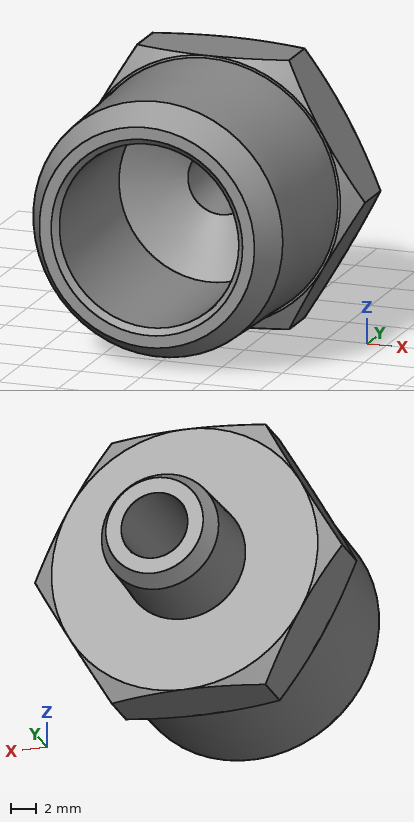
import cadquery as cq
import math

large_thread_length = 14.0
hex_thickness = 5.5
small_thread_length = 7.5
hex_end = large_thread_length + hex_thickness
total_length = hex_end + small_thread_length

across_flats = 22.0
across_corners = across_flats / math.cos(math.radians(30))
hex_chamfer_diameter = across_flats
hex_chamfer_angle = 30.0

thread_taper = 1 / 16
large_tip_diameter = 20.87
large_chamfer_length = 2.5
small_tip_diameter = 9.67
small_chamfer_length = 1.4
tip_chamfer_angle = 30.0

bore_diameter = 15.0
bore_depth = 14.0
mouth_diameter = 16.0
mouth_chamfer_angle = 45.0
hole_diameter = 5.5
drill_point_angle = 120.0


def revolve_about_y(outline):
    """Turn a list of (radius, y) points into a solid of revolution about Y."""
    return cq.Workplane("XY").polyline(outline).close().revolve(360, (0, 0, 0), (0, 1, 0))


def tapered_thread(tip_diameter, length, chamfer_length):
    """Thread body from its chamfered tip at Y = 0 to its root at Y = length."""
    tip_radius = tip_diameter / 2
    end_radius = tip_radius - chamfer_length * math.tan(math.radians(tip_chamfer_angle))
    root_radius = tip_radius + (length - chamfer_length) * thread_taper / 2
    return revolve_about_y([
        (0, 0),
        (end_radius, 0),
        (tip_radius, chamfer_length),
        (root_radius, length),
        (0, length),
    ])


def chamfered_hexagon():
    """Hexagon with corners on the X axis, turned down at the corners on both faces."""
    prism = (
        cq.Workplane("XZ", origin=(0, hex_end, 0))
        .polygon(6, across_corners)
        .extrude(hex_thickness)
    )
    face_radius = hex_chamfer_diameter / 2
    corner_radius = across_corners / 2
    corner_drop = (corner_radius - face_radius) * math.tan(math.radians(hex_chamfer_angle))
    envelope = revolve_about_y([
        (0, large_thread_length),
        (face_radius, large_thread_length),
        (corner_radius, large_thread_length + corner_drop),
        (corner_radius, hex_end - corner_drop),
        (face_radius, hex_end),
        (0, hex_end),
    ])
    return prism.intersect(envelope)


def passage():
    """Chamfered bore with a conical floor that leads into the through hole."""
    mouth_radius = mouth_diameter / 2
    bore_radius = bore_diameter / 2
    hole_radius = hole_diameter / 2
    mouth_depth = (mouth_radius - bore_radius) / math.tan(math.radians(mouth_chamfer_angle))
    cone_length = (bore_radius - hole_radius) / math.tan(math.radians(drill_point_angle / 2))
    return revolve_about_y([
        (0, 0),
        (mouth_radius, 0),
        (bore_radius, mouth_depth),
        (bore_radius, bore_depth),
        (hole_radius, bore_depth + cone_length),
        (hole_radius, total_length),
        (0, total_length),
    ])


large_thread = tapered_thread(large_tip_diameter, large_thread_length, large_chamfer_length)
small_thread = (
    tapered_thread(small_tip_diameter, small_thread_length, small_chamfer_length)
    .rotate((0, 0, 0), (0, 0, 1), 180)
    .translate((0, total_length, 0))
)

result = chamfered_hexagon().union(large_thread).union(small_thread).cut(passage())